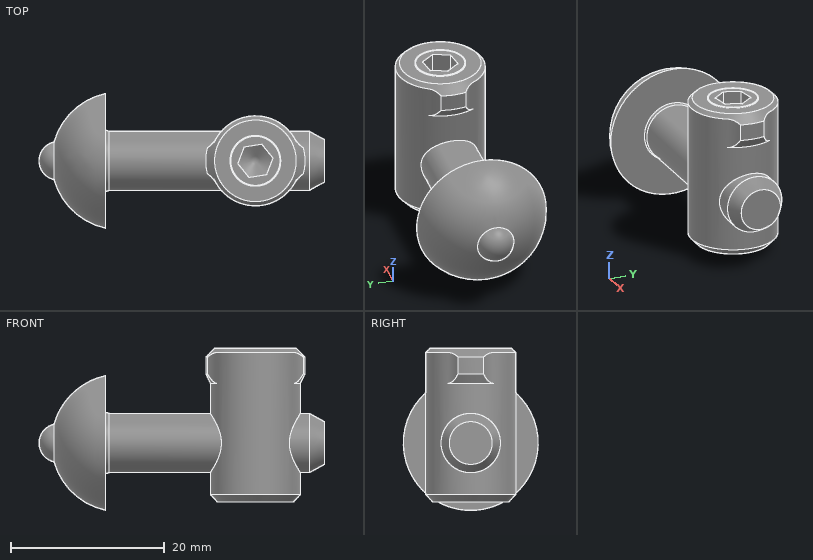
import cadquery as cq
import math


SHANK_RADIUS = 3.85
HEAD_FACE_X = -19.45
HEAD_RADIUS = 8.775
DOME_RADIUS = 8.98
FLARE_LENGTH = 0.45
FLARE_STEP = 0.15
FLARE_RADIUS = SHANK_RADIUS + FLARE_STEP
TIP_CONE_X = 7.0
TIP_X = 8.98
TIP_RADIUS = 2.8

BALL_RADIUS = 2.52
OVERALL_LENGTH = 37.1
BALL_X = TIP_X - OVERALL_LENGTH + BALL_RADIUS

BARREL_RADIUS = 5.85
BARREL_TOP = 12.32
BARREL_BOTTOM = -7.7
BOTTOM_CHAMFER_HEIGHT = 1.0
BOTTOM_CHAMFER_WIDTH = 0.93
TOP_CHAMFER = 0.55
TOP_RADIUS = BARREL_RADIUS - TOP_CHAMFER

EAR_RADIUS = 6.45
EAR_HALF_WIDTH = 1.67
EAR_ROOT_HALF_WIDTH = 2.97
EAR_FLANK_RADIUS = 4.45
EAR_FACE_BOTTOM = 8.98
EAR_BOTTOM = 7.75

SCREW_RADIUS = 3.3
SCREW_CHAMFER = 0.1
SOCKET_ACROSS_FLATS = 4.0
SOCKET_ANGLE = 9
SOCKET_DEPTH = 2.97
DRILL_POINT_HALF_ANGLE = 60
SCREW_LENGTH = BARREL_TOP - SHANK_RADIUS


def make_ball():
    return cq.Workplane("XY").sphere(BALL_RADIUS).translate((BALL_X, 0, 0))


def make_bolt():
    dome_center_x = HEAD_FACE_X + math.sqrt(DOME_RADIUS**2 - HEAD_RADIUS**2)
    arc_middle = DOME_RADIUS * math.sqrt(0.5)
    bolt = (
        cq.Workplane("XZ")
        .moveTo(dome_center_x - DOME_RADIUS, 0)
        .threePointArc((dome_center_x - arc_middle, arc_middle), (HEAD_FACE_X, HEAD_RADIUS))
        .lineTo(HEAD_FACE_X, FLARE_RADIUS)
        .lineTo(HEAD_FACE_X + FLARE_LENGTH, SHANK_RADIUS)
        .lineTo(TIP_CONE_X, SHANK_RADIUS)
        .lineTo(TIP_X, TIP_RADIUS)
        .lineTo(TIP_X, 0)
        .close()
        .revolve(360, (0, 0, 0), (1, 0, 0))
    )
    return bolt.cut(make_ball())


def make_ear():
    """Ear on the +X side: concave flanks, round outer face, bevelled above and below."""
    root_x = math.sqrt(BARREL_RADIUS**2 - EAR_ROOT_HALF_WIDTH**2)
    face_x = math.sqrt(EAR_RADIUS**2 - EAR_HALF_WIDTH**2)
    bevel_slope = (EAR_FACE_BOTTOM - EAR_BOTTOM) / (EAR_RADIUS - BARREL_RADIUS)
    bevel_apex_z = EAR_FACE_BOTTOM - bevel_slope * EAR_RADIUS
    blank = (
        cq.Workplane("XY")
        .workplane(offset=bevel_apex_z)
        .moveTo(SCREW_RADIUS, EAR_ROOT_HALF_WIDTH)
        .lineTo(root_x, EAR_ROOT_HALF_WIDTH)
        .radiusArc((face_x, EAR_HALF_WIDTH), -EAR_FLANK_RADIUS)
        .threePointArc((EAR_RADIUS, 0), (face_x, -EAR_HALF_WIDTH))
        .radiusArc((root_x, -EAR_ROOT_HALF_WIDTH), -EAR_FLANK_RADIUS)
        .lineTo(SCREW_RADIUS, -EAR_ROOT_HALF_WIDTH)
        .close()
        .extrude(BARREL_TOP - bevel_apex_z)
    )
    bevelled_envelope = (
        cq.Workplane("XZ")
        .moveTo(0, bevel_apex_z)
        .lineTo(EAR_RADIUS, EAR_FACE_BOTTOM)
        .lineTo(EAR_RADIUS, BARREL_TOP - (EAR_RADIUS - TOP_RADIUS))
        .lineTo(TOP_RADIUS, BARREL_TOP)
        .lineTo(0, BARREL_TOP)
        .close()
        .revolve(360, (0, 0, 0), (0, 1, 0))
    )
    return blank.intersect(bevelled_envelope)


def make_barrel():
    body = (
        cq.Workplane("XZ")
        .moveTo(0, BARREL_BOTTOM)
        .lineTo(BARREL_RADIUS - BOTTOM_CHAMFER_WIDTH, BARREL_BOTTOM)
        .lineTo(BARREL_RADIUS, BARREL_BOTTOM + BOTTOM_CHAMFER_HEIGHT)
        .lineTo(BARREL_RADIUS, BARREL_TOP - TOP_CHAMFER)
        .lineTo(TOP_RADIUS, BARREL_TOP)
        .lineTo(0, BARREL_TOP)
        .close()
        .revolve(360, (0, 0, 0), (0, 1, 0))
    )
    cross_bore = cq.Workplane("YZ").circle(SHANK_RADIUS).extrude(EAR_RADIUS, both=True)
    screw_hole = cq.Workplane("XY").circle(SCREW_RADIUS).extrude(BARREL_TOP)
    ear = make_ear()
    eared_body = body.union(ear).union(ear.mirror("YZ"))
    return eared_body.cut(cross_bore).cut(screw_hole)


def make_set_screw():
    screw = (
        cq.Workplane("XY")
        .workplane(offset=SHANK_RADIUS)
        .circle(SCREW_RADIUS)
        .extrude(SCREW_LENGTH)
        .faces(">Z")
        .chamfer(SCREW_CHAMFER)
    )
    socket_diameter = SOCKET_ACROSS_FLATS / math.cos(math.radians(30))
    point_depth = socket_diameter / 2 / math.tan(math.radians(DRILL_POINT_HALF_ANGLE))
    apex_z = BARREL_TOP - SOCKET_DEPTH - point_depth
    hexagon = (
        cq.Workplane("XY")
        .polygon(6, socket_diameter)
        .extrude(SOCKET_DEPTH + point_depth)
        .rotate((0, 0, 0), (0, 0, 1), SOCKET_ANGLE)
        .translate((0, 0, apex_z))
    )
    drill_envelope = (
        cq.Workplane("XZ")
        .moveTo(0, apex_z)
        .lineTo(socket_diameter / 2, BARREL_TOP - SOCKET_DEPTH)
        .lineTo(socket_diameter / 2, BARREL_TOP)
        .lineTo(0, BARREL_TOP)
        .close()
        .revolve(360, (0, 0, 0), (0, 1, 0))
    )
    return screw.cut(hexagon.intersect(drill_envelope))


ball = make_ball()
bolt = make_bolt()
barrel = make_barrel()
set_screw = make_set_screw()

result = cq.Compound.makeCompound([ball.val(), bolt.val(), barrel.val(), set_screw.val()])